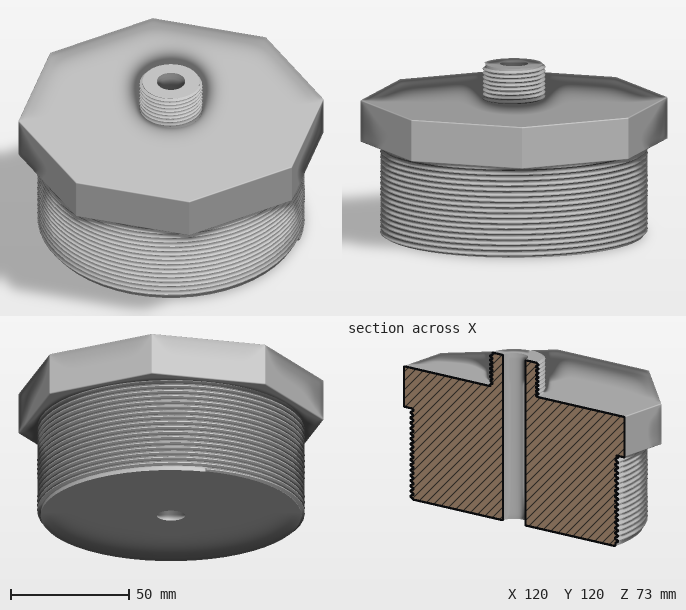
import cadquery as cq

FLANGE_ACROSS_FLATS = 120.0
FLANGE_THICKNESS = 18.0
FLANGE_EDGE_RADIUS = 0.5
FLANGE_SIDES = 8

INCH = 25.4
LARGE_ROOT_DIAMETER = 110.07
LARGE_PITCH = INCH / 11
LARGE_LENGTH = 40.0

SMALL_ROOT_DIAMETER = 24.12
SMALL_PITCH = INCH / 14
SMALL_LENGTH = 15.0

THREAD_DEPTH_PER_PITCH = 0.6403
THREAD_FLAT_PER_PITCH = 1 / 6
RIDGE_EMBED = 0.1
TURNS_IN_FLANGE = 1

BORE_DIAMETER = 12.0

FLANGE_TOP = FLANGE_THICKNESS
PART_TOP = FLANGE_TOP + SMALL_LENGTH


def cylinder(diameter, bottom, top):
    return cq.Workplane("XY").workplane(offset=bottom).circle(diameter / 2).extrude(top - bottom)


def thread_ridge(root_diameter, pitch, start, turns):
    """Right-handed trapezoidal ridge whose crest begins on the +X side at height start."""
    root_radius = root_diameter / 2
    inner_radius = root_radius - RIDGE_EMBED
    crest_radius = root_radius + THREAD_DEPTH_PER_PITCH * pitch
    half_crest = THREAD_FLAT_PER_PITCH * pitch / 2
    half_root = (pitch - THREAD_FLAT_PER_PITCH * pitch) / 2
    half_base = half_root + RIDGE_EMBED * (half_root - half_crest) / (crest_radius - root_radius)
    helix = cq.Workplane(cq.Wire.makeHelix(pitch, turns * pitch, root_radius))
    ridge = (
        cq.Workplane("XZ")
        .polyline([
            (inner_radius, -half_base),
            (crest_radius, -half_crest),
            (crest_radius, half_crest),
            (inner_radius, half_base),
        ])
        .close()
        .sweep(helix, isFrenet=True)
    )
    return ridge.translate((0, 0, start))


def octagonal_flange():
    prism = (
        cq.Workplane("XY")
        .polygon(FLANGE_SIDES, FLANGE_ACROSS_FLATS, circumscribed=True)
        .extrude(FLANGE_THICKNESS)
    )
    return prism.edges().fillet(FLANGE_EDGE_RADIUS)


def large_thread():
    """Core with a ridge from inside the flange down to the last whole turn, flush at the lower end."""
    bottom = -LARGE_LENGTH
    whole_turns = int(LARGE_LENGTH / LARGE_PITCH)
    ridge = thread_ridge(
        LARGE_ROOT_DIAMETER,
        LARGE_PITCH,
        start=-whole_turns * LARGE_PITCH,
        turns=whole_turns + TURNS_IN_FLANGE,
    )
    below_end = cylinder(FLANGE_ACROSS_FLATS, bottom - LARGE_PITCH, bottom)
    core = cylinder(LARGE_ROOT_DIAMETER, bottom, FLANGE_THICKNESS / 2)
    return core.union(ridge.cut(below_end))


def small_thread():
    """Core with a ridge from inside the flange up to the last whole turn, flush at the upper end."""
    whole_turns = int(SMALL_LENGTH / SMALL_PITCH)
    ridge = thread_ridge(
        SMALL_ROOT_DIAMETER,
        SMALL_PITCH,
        start=FLANGE_TOP - TURNS_IN_FLANGE * SMALL_PITCH,
        turns=whole_turns + TURNS_IN_FLANGE,
    )
    above_end = cylinder(2 * SMALL_ROOT_DIAMETER, PART_TOP, PART_TOP + SMALL_PITCH)
    core = cylinder(SMALL_ROOT_DIAMETER, FLANGE_THICKNESS / 2, PART_TOP)
    return core.union(ridge.cut(above_end))


bore = cylinder(BORE_DIAMETER, -LARGE_LENGTH, PART_TOP)
result = octagonal_flange().union(large_thread()).union(small_thread()).cut(bore)